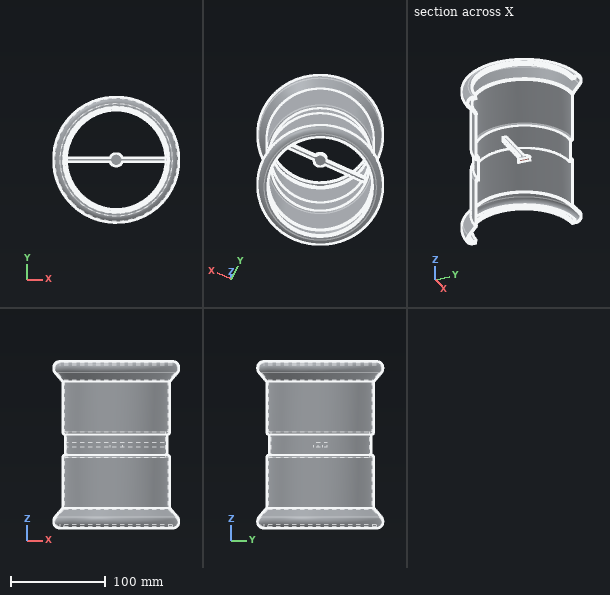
import cadquery as cq
import math

LENGTH = 176.0
WALL = 1.8
SOCKET_RADIUS = 56.5
WAIST_RADIUS = 53.9
WAIST_HEIGHT = 21.5
BEAD_CENTER_RADIUS = 59.1
BEAD_RADIUS = 7.2
FLARE_ANGLE = 40.0

MOUTH_RADIUS = 55.5
SEAL_HEIGHT = 2.3
SEAL_TAPER = 0.5
BORE_EDGE_WIDTH = 0.5
BORE_EDGE_HEIGHT = 1.5
FLOOR_ROUND = 1.5

BAR_WIDTH = 4.4
BAR_HEIGHT = 4.4
HUB_RADIUS = 6.9

HALF_LENGTH = LENGTH / 2
HALF_WAIST = WAIST_HEIGHT / 2
SOCKET_BORE = SOCKET_RADIUS - WALL
WAIST_BORE = WAIST_RADIUS - WALL
SHOULDER_RADIUS = SOCKET_RADIUS - WAIST_RADIUS
SHOULDER_TOP = HALF_WAIST + SHOULDER_RADIUS
FLARE = math.radians(FLARE_ANGLE)
BEAD_CENTER_Z = HALF_LENGTH - BEAD_RADIUS
FLARE_TOP_RADIUS = BEAD_CENTER_RADIUS + BEAD_RADIUS * math.cos(FLARE)
FLARE_TOP_Z = BEAD_CENTER_Z - BEAD_RADIUS * math.sin(FLARE)
FLARE_BASE_Z = FLARE_TOP_Z - (FLARE_TOP_RADIUS - SOCKET_RADIUS) / math.tan(FLARE)
GROOVE_RADIUS = BEAD_RADIUS - WALL
GROOVE_BASE_RADIUS = BEAD_CENTER_RADIUS + GROOVE_RADIUS * math.cos(FLARE)
GROOVE_BASE_Z = BEAD_CENTER_Z - GROOVE_RADIUS * math.sin(FLARE)
LIP_Z = HALF_LENGTH - WALL
SEAL_BASE_Z = LIP_Z - SEAL_HEIGHT


def make_socket():
    """Upper socket: shoulder, straight wall, flare, bead and mouth."""
    shoulder_middle = SHOULDER_RADIUS * math.sqrt(0.5)
    floor_middle = FLOOR_ROUND * (1 - math.sqrt(0.5))
    return (
        cq.Workplane("XZ")
        .moveTo(WAIST_BORE, HALF_WAIST)
        .lineTo(WAIST_RADIUS, HALF_WAIST)
        .threePointArc(
            (WAIST_RADIUS + shoulder_middle, SHOULDER_TOP - shoulder_middle),
            (SOCKET_RADIUS, SHOULDER_TOP),
        )
        .lineTo(SOCKET_RADIUS, FLARE_BASE_Z)
        .lineTo(FLARE_TOP_RADIUS, FLARE_TOP_Z)
        .threePointArc(
            (BEAD_CENTER_RADIUS + BEAD_RADIUS, BEAD_CENTER_Z),
            (BEAD_CENTER_RADIUS, HALF_LENGTH),
        )
        .lineTo(MOUTH_RADIUS, HALF_LENGTH)
        .lineTo(MOUTH_RADIUS, LIP_Z)
        .lineTo(BEAD_CENTER_RADIUS, LIP_Z)
        .threePointArc(
            (BEAD_CENTER_RADIUS + GROOVE_RADIUS, BEAD_CENTER_Z),
            (GROOVE_BASE_RADIUS, GROOVE_BASE_Z),
        )
        .lineTo(SOCKET_BORE + BORE_EDGE_WIDTH, FLARE_BASE_Z + BORE_EDGE_HEIGHT)
        .lineTo(SOCKET_BORE, FLARE_BASE_Z)
        .lineTo(SOCKET_BORE, SHOULDER_TOP + FLOOR_ROUND)
        .threePointArc(
            (SOCKET_BORE - floor_middle, SHOULDER_TOP + floor_middle),
            (SOCKET_BORE - FLOOR_ROUND, SHOULDER_TOP),
        )
        .lineTo(WAIST_BORE, SHOULDER_TOP)
        .close()
        .revolve(360, (0, 0, 0), (0, 1, 0))
    )


def make_waist():
    return (
        cq.Workplane("XY")
        .workplane(offset=-HALF_WAIST)
        .circle(WAIST_RADIUS)
        .circle(WAIST_BORE)
        .extrude(WAIST_HEIGHT)
    )


def make_crossbar():
    """Bar across the waist along X, with its hub on the axis."""
    bar_length = WAIST_BORE + WAIST_RADIUS
    bar = cq.Workplane("XY").box(bar_length, BAR_WIDTH, BAR_HEIGHT)
    hub = cq.Workplane("XY").cylinder(BAR_HEIGHT, HUB_RADIUS)
    return bar.union(hub)


def make_housing():
    upper = make_socket()
    lower = upper.mirror("XY")
    return make_waist().union(upper).union(lower).union(make_crossbar())


def make_seal(end):
    """Seal ring under the lip; end is +1 for the top and -1 for the bottom."""
    return (
        cq.Workplane("XZ")
        .moveTo(MOUTH_RADIUS, end * LIP_Z)
        .lineTo(BEAD_CENTER_RADIUS, end * LIP_Z)
        .lineTo(BEAD_CENTER_RADIUS, end * SEAL_BASE_Z)
        .lineTo(MOUTH_RADIUS - SEAL_TAPER, end * SEAL_BASE_Z)
        .close()
        .revolve(360, (0, 0, 0), (0, 1, 0))
    )


housing = make_housing()
seals = [make_seal(end).val() for end in (1, -1)]

result = cq.Compound.makeCompound([housing.val(), *seals])